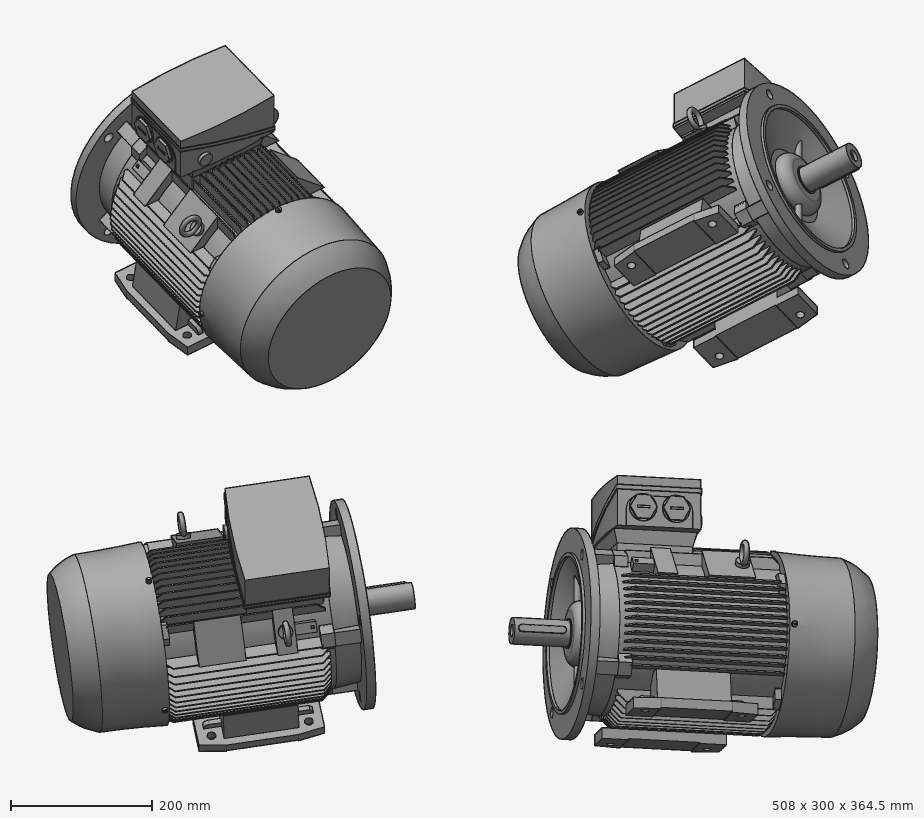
import cadquery as cq
import math


SHAFT_RADIUS = 19.05
SHAFT_TIP_X = -80.5
COLLAR_RADIUS = 21.5
COLLAR_X = 1.0
KEY_WIDTH = 10.0
KEY_START_X = -75.0
KEY_END_X = -5.5
KEY_TOP = 22.5
CENTRE_HOLE_RADIUS = 5.5
CENTRE_HOLE_DEPTH = 25.5
CENTRE_SINK_RADIUS = 8.5
CENTRE_SINK_DEPTH = 5.0

FLANGE_RADIUS = 300.0 / 2
FLANGE_THICKNESS = 13.0
SHIELD_END_X = 50.5
SHIELD_FRONT_RADIUS = 110.0
SPIGOT_RADIUS = 115.0
SPIGOT_HEIGHT = 4.0
BOWL_RADIUS = 109.5
BOWL_DEPTH = 23.0
BOWL_FLOOR_RADIUS = 57.5
HUB_BASE_RADIUS = 47.0
HUB_FACE_RADIUS = 33.0
HUB_FACE_X = 2.5
BOWL_RIB_RADIUS = 5.0
BOWL_RIB_X = 16.0
BOWL_RIB_REACH = 91.5
BOLT_CIRCLE_RADIUS = 132.5
BOLT_HOLE_RADIUS = 7.5

CORE_RADIUS = 114.5
HOUSING_END_X = 293.5
FIN_TIP_HEIGHT = 131.0
FIN_CROWN_RADIUS = 115.5
FIN_THICKNESS = 2.0
FIN_PITCH = 11.0
FINS_EACH_SIDE_OF_MIDDLE = 6
FIN_START_X = 58.0
FIN_FRONT_CHAMFER = 12.5
FIN_REAR_CHAMFER = 9.0
FIN_ROOT = 71.0

LUG_ANGLE = -34.5
LUG_WIDTH = 20.5
LUG_OUTER_RADIUS = 126.5
LUG_ROOT_RADIUS = 96.5
LUG_SIDE_ROOT_Z = 82.5
LUG_UPPER_ROOT = (-45.5, 101.5)
FRONT_LUG_END_X = 70.0
REAR_LUG_START_X = 284.5

UPPER_ANGLES = (-45, 45)
PAD_RADIUS = 130.0
PAD_SIDE = 68.5
FRONT_PAD_X = (105.5, 134.5)
REAR_PAD_X = (180.5, 248.0)
EARTH_BLOCK_START_X = 74.5
EARTH_BLOCK_WIDTH = 16.0
EARTH_BLOCK_RADIUS = 128.0
EARTH_BLOCK_ROOT = 101.5
EARTH_HOLE_X = 80.5
EARTH_HOLE_SIZE = 4.0
EARTH_HOLE_DEPTH = 5.0

SHAFT_HEIGHT = 132.0
FOOT_THICKNESS = 16.0
FOOT_X = (68.5, 249.5)
FOOT_MIDDLE_X = (107.0, 211.0)
FOOT_INNER_Y = 73.5
FOOT_OUTER_Y = 128.0
FOOT_END_Y = 121.5
FOOT_RELIEF = 1.5
FOOT_HOLE_RADIUS = 6.0
FOOT_HOLE_Y = 108.0
FOOT_HOLE_X = (89.0, 229.0)
WEB_X = (104.5, 212.5)
WEB_TOP_Z = -70.5
WEB_TOP_Y = 109.0
WEB_BASE_Y = 116.5
FOOT_RIB_X = (80.5, 238.0)
FOOT_RIB_Y = 87.5
FOOT_RIB_WIDTH = 7.5
FOOT_RIB_HEIGHT = 9.0
FOOT_RIB_BEVEL = 5.0

OVERALL_HEIGHT = 364.5
BOX_TOP_Z = OVERALL_HEIGHT - FLANGE_RADIUS
BOX_BOTTOM_Z = 142.0
BOX_BASE_Z = 122.0
BOX_CORNER_X = (54.5, 176.0)
BOX_BULGE = 4.0
BOX_Y = (-82.5, 78.5)
BOX_BASE_X = (59.5, 169.5)
BOX_BASE_Y = 58.5
BOX_NECK_TOP_Y = 61.5
BOX_CLEARANCE_END_X = 174.0
LIP_OVERHANG = 1.5
LIP_THICKNESS = 6.5
LIP_FRONT_Z = 195.0
LIP_BACK_Z = 146.0
GLAND_PANEL_X = (67.0, 163.5)
GLAND_PANEL_TOP_Z = 187.0
GLAND_PANEL_THICKNESS = 1.5
GLAND_PANEL_CORNER = 20.5
GLAND_X = (91.0, 139.0)
GLAND_Z = 169.5
GLAND_COLLAR_RADIUS = 20.0
GLAND_COLLAR_HEIGHT = 2.0
GLAND_HEX_CORNERS = 39.0
GLAND_HEX_HEIGHT = 4.5
GLAND_SLOT_LENGTH = 18.5
GLAND_SLOT_WIDTH = 3.0
GLAND_SLOT_DEPTH = 1.5
SIDE_PLUG_RADIUS = 10.5
SIDE_PLUG_Y = -43.5
SIDE_PLUG_Z = 161.5
SIDE_PLUG_END_X = 184.0

COVER_END_X = 508 + SHAFT_TIP_X
COVER_BREAK_X = 389.5
COVER_FRONT_RADIUS = 131.5
COVER_BREAK_RADIUS = 127.5
COVER_END_RADIUS = 105.5
COVER_ARC_X = 411.5
COVER_ARC_RADIUS = 118.0
COVER_SCREW_X = 300.0
COVER_SCREW_RADIUS = 4.0
COVER_SCREW_TOP = 135.0
COVER_SCREW_SLOT = 1.5
COVER_SCREW_ANGLES = (-90, 0, 90)

EYE_RING_OUTER_RADIUS = 18.5
EYE_WIRE_RADIUS = 3.8
EYE_COLLAR_RADIUS = 10.0
EYE_COLLAR_HEIGHT = 6.0
EYE_CENTRE_HEIGHT = 19.5
EYE_PLACES = (
    (45, sum(FRONT_PAD_X) / 2),
    (-45, 233.5),
)


def box_between(x_range, y_range, z_range):
    size = [high - low for low, high in (x_range, y_range, z_range)]
    corner = (x_range[0], y_range[0], z_range[0])
    return cq.Workplane("XY").box(*size, centered=False).translate(corner)


def turn(body, angle):
    """Turn a body about the shaft axis; a positive angle carries +Z towards +Y."""
    return body.rotate((0, 0, 0), (1, 0, 0), -angle)


def x_cylinder(radius, x_start, x_end):
    return cq.Workplane("YZ", origin=(x_start, 0, 0)).circle(radius).extrude(x_end - x_start)


def radial_block(x_range, width, root_radius, outer_radius, angle):
    block = box_between(x_range, (-width / 2, width / 2), (root_radius, outer_radius))
    return turn(block, angle)


def make_shaft():
    shaft = x_cylinder(SHAFT_RADIUS, SHAFT_TIP_X, SHIELD_END_X)
    shaft = shaft.union(x_cylinder(COLLAR_RADIUS, COLLAR_X, SHIELD_END_X))
    key = (
        cq.Workplane("XZ")
        .center((KEY_START_X + KEY_END_X) / 2, 0)
        .slot2D(KEY_END_X - KEY_START_X, KEY_WIDTH)
        .extrude(KEY_TOP)
    )
    hole = x_cylinder(CENTRE_HOLE_RADIUS, SHAFT_TIP_X, SHAFT_TIP_X + CENTRE_HOLE_DEPTH)
    sink = x_cylinder(CENTRE_SINK_RADIUS, SHAFT_TIP_X, SHAFT_TIP_X + CENTRE_SINK_DEPTH)
    return shaft.union(key).cut(hole).cut(sink)


def make_end_shield():
    hub_arc = (
        (HUB_FACE_X + BOWL_DEPTH) / 2 - 5.0,
        (HUB_BASE_RADIUS + HUB_FACE_RADIUS) / 2 + 3.5,
    )
    shield = (
        cq.Workplane("XY")
        .moveTo(HUB_FACE_X, 0)
        .lineTo(HUB_FACE_X, HUB_FACE_RADIUS)
        .threePointArc(hub_arc, (BOWL_DEPTH, HUB_BASE_RADIUS))
        .lineTo(BOWL_DEPTH, BOWL_FLOOR_RADIUS)
        .lineTo(0, BOWL_RADIUS)
        .lineTo(-SPIGOT_HEIGHT, BOWL_RADIUS)
        .lineTo(-SPIGOT_HEIGHT, SPIGOT_RADIUS)
        .lineTo(0, SPIGOT_RADIUS)
        .lineTo(0, FLANGE_RADIUS)
        .lineTo(FLANGE_THICKNESS, FLANGE_RADIUS)
        .lineTo(FLANGE_THICKNESS, SHIELD_FRONT_RADIUS)
        .lineTo(SHIELD_END_X, CORE_RADIUS)
        .lineTo(SHIELD_END_X, 0)
        .close()
        .revolve(360, (0, 0, 0), (1, 0, 0))
    )
    bowl_ribs = (
        cq.Workplane("XY", origin=(BOWL_RIB_X, 0, 0))
        .circle(BOWL_RIB_RADIUS)
        .extrude(BOWL_RIB_REACH, both=True)
    )
    shield = shield.union(bowl_ribs)
    for quarter in range(4):
        lug_x = (FLANGE_THICKNESS, SHIELD_END_X)
        lug_angle = LUG_ANGLE + 90 * quarter
        shield = shield.union(radial_block(lug_x, LUG_WIDTH, LUG_ROOT_RADIUS, LUG_OUTER_RADIUS, lug_angle))
    bolt_holes = (
        cq.Workplane("YZ")
        .polarArray(BOLT_CIRCLE_RADIUS, 45, 360, 4)
        .circle(BOLT_HOLE_RADIUS)
        .extrude(FLANGE_THICKNESS)
    )
    shaft_bore = x_cylinder(COLLAR_RADIUS, 0, SHIELD_END_X)
    return shield.cut(bolt_holes).cut(shaft_bore)


def make_fin(offset, tip):
    """Upright fin standing at Y = offset, bevelled at both ends."""
    return (
        cq.Workplane("XZ", origin=(0, offset + FIN_THICKNESS / 2, 0))
        .moveTo(FIN_START_X, FIN_ROOT)
        .lineTo(FIN_START_X, tip - FIN_FRONT_CHAMFER)
        .lineTo(FIN_START_X + FIN_FRONT_CHAMFER, tip)
        .lineTo(HOUSING_END_X - FIN_REAR_CHAMFER, tip)
        .lineTo(HOUSING_END_X, tip - FIN_REAR_CHAMFER)
        .lineTo(HOUSING_END_X, FIN_ROOT)
        .close()
        .extrude(FIN_THICKNESS)
    )


def make_finned_core():
    """Round core with a row of fins on each of four sides, the tips of a row lying on one arc."""
    core = x_cylinder(CORE_RADIUS, SHIELD_END_X, HOUSING_END_X)
    crown_centre = FIN_TIP_HEIGHT - FIN_CROWN_RADIUS
    row = []
    for step in range(-FINS_EACH_SIDE_OF_MIDDLE, FINS_EACH_SIDE_OF_MIDDLE + 1):
        offset = step * FIN_PITCH
        row.append(make_fin(offset, crown_centre + math.sqrt(FIN_CROWN_RADIUS**2 - offset**2)))
    fins = [turn(fin, angle).val() for angle in (0, 90, 180, 270) for fin in row]
    return cq.Workplane("XY").newObject([core.val().fuse(*fins)])


def make_lug(x_range):
    """Lug at the upper -Y corner in line with the end shield's lug, with an upright outer side."""
    angle = math.radians(LUG_ANGLE)
    half = LUG_WIDTH / 2
    radial = (math.sin(angle), math.cos(angle))
    across = (math.cos(angle), -math.sin(angle))
    upper_corner = [LUG_OUTER_RADIUS * r + half * a for r, a in zip(radial, across)]
    side_corner = [LUG_OUTER_RADIUS * r - half * a for r, a in zip(radial, across)]
    side_root = (side_corner[0], LUG_SIDE_ROOT_Z)
    return (
        cq.Workplane("YZ", origin=(x_range[0], 0, 0))
        .polyline([LUG_UPPER_ROOT, upper_corner, side_corner, side_root])
        .close()
        .extrude(x_range[1] - x_range[0])
    )


def make_pad(x_range, side):
    """Corner pad with a 45 degree face; side is +1 on the +Y flank and -1 on the -Y flank."""
    far_edge = PAD_RADIUS * math.sqrt(2) - PAD_SIDE
    return (
        cq.Workplane("YZ", origin=(x_range[0], 0, 0))
        .moveTo(side * PAD_SIDE, PAD_SIDE)
        .lineTo(side * far_edge, PAD_SIDE)
        .lineTo(side * PAD_SIDE, far_edge)
        .close()
        .extrude(x_range[1] - x_range[0])
    )


def make_foot():
    """Foot on the -Y side: plate, sloped web and a low locating rib at each end."""
    top_z = FOOT_THICKNESS - SHAFT_HEIGHT
    plate = (
        cq.Workplane("XY", origin=(0, 0, -SHAFT_HEIGHT))
        .moveTo(FOOT_X[0], -FOOT_INNER_Y)
        .lineTo(FOOT_X[0], -FOOT_END_Y)
        .lineTo(FOOT_MIDDLE_X[0], -FOOT_OUTER_Y)
        .lineTo(FOOT_MIDDLE_X[1], -FOOT_OUTER_Y)
        .lineTo(FOOT_X[1], -FOOT_END_Y)
        .lineTo(FOOT_X[1], -FOOT_INNER_Y)
        .close()
        .extrude(FOOT_THICKNESS)
    )
    relief = box_between(
        FOOT_MIDDLE_X, (-FOOT_OUTER_Y, -FOOT_INNER_Y), (-SHAFT_HEIGHT, FOOT_RELIEF - SHAFT_HEIGHT)
    )
    holes = (
        cq.Workplane("XY", origin=(0, 0, -SHAFT_HEIGHT))
        .pushPoints([(x, -FOOT_HOLE_Y) for x in FOOT_HOLE_X])
        .circle(FOOT_HOLE_RADIUS)
        .extrude(FOOT_THICKNESS)
    )
    web = (
        cq.Workplane("YZ", origin=(WEB_X[0], 0, 0))
        .moveTo(-FOOT_INNER_Y, WEB_TOP_Z)
        .lineTo(-WEB_TOP_Y, WEB_TOP_Z)
        .lineTo(-WEB_BASE_Y, top_z)
        .lineTo(-FOOT_INNER_Y, top_z)
        .close()
        .extrude(WEB_X[1] - WEB_X[0])
    )
    rib = box_between(
        FOOT_RIB_X, (-FOOT_RIB_Y - FOOT_RIB_WIDTH, -FOOT_RIB_Y), (top_z, top_z + FOOT_RIB_HEIGHT)
    )
    rib = rib.faces(">Z").edges("<X").chamfer(FOOT_RIB_BEVEL)
    rib = rib.faces(">Z").edges(">X").fillet(FOOT_RIB_HEIGHT * 0.9)
    return plate.cut(relief).cut(holes).union(web).union(rib)


def make_housing():
    housing = make_finned_core()

    box_clearance = box_between(
        (SHIELD_END_X, BOX_CLEARANCE_END_X), (-FOOT_OUTER_Y, FOOT_OUTER_Y), (BOX_BASE_Z, BOX_BOTTOM_Z)
    )
    seat = box_between(BOX_BASE_X, (-BOX_BASE_Y, BOX_BASE_Y), (FIN_ROOT, BOX_BASE_Z))
    housing = housing.cut(box_clearance).union(seat)

    front_lug = make_lug((SHIELD_END_X, FRONT_LUG_END_X))
    rear_lug = make_lug((REAR_LUG_START_X, HOUSING_END_X)).mirror("XZ")
    for quarter in range(4):
        housing = housing.union(turn(front_lug, 90 * quarter)).union(turn(rear_lug, 90 * quarter))

    for angle in UPPER_ANGLES:
        for pad_x in (FRONT_PAD_X, REAR_PAD_X):
            housing = housing.union(make_pad(pad_x, math.copysign(1, angle)))
        earth_x = (EARTH_BLOCK_START_X, FRONT_PAD_X[0])
        earth_block = radial_block(earth_x, EARTH_BLOCK_WIDTH, EARTH_BLOCK_ROOT, EARTH_BLOCK_RADIUS, angle)
        earth_hole = radial_block(
            (EARTH_HOLE_X - EARTH_HOLE_SIZE / 2, EARTH_HOLE_X + EARTH_HOLE_SIZE / 2),
            EARTH_HOLE_SIZE,
            EARTH_BLOCK_RADIUS - EARTH_HOLE_DEPTH,
            EARTH_BLOCK_RADIUS,
            angle,
        )
        housing = housing.union(earth_block).cut(earth_hole)

    foot = make_foot()
    return housing.union(foot).union(foot.mirror("XZ"))


def box_outline(workplane):
    """Plan of the terminal box: straight along X, slightly bulged at both X ends."""
    middle_y = sum(BOX_Y) / 2
    return (
        workplane.moveTo(BOX_CORNER_X[0], BOX_Y[0])
        .lineTo(BOX_CORNER_X[1], BOX_Y[0])
        .threePointArc((BOX_CORNER_X[1] + BOX_BULGE, middle_y), (BOX_CORNER_X[1], BOX_Y[1]))
        .lineTo(BOX_CORNER_X[0], BOX_Y[1])
        .threePointArc((BOX_CORNER_X[0] - BOX_BULGE, middle_y), (BOX_CORNER_X[0], BOX_Y[0]))
        .close()
    )


def make_lid_lip():
    """Sloping lip where the lid meets the box, standing proud all round."""
    ring = (
        box_outline(cq.Workplane("XY", origin=(0, 0, BOX_BOTTOM_Z)))
        .offset2D(LIP_OVERHANG)
        .extrude(BOX_TOP_Z - BOX_BOTTOM_Z)
    )
    front_y = BOX_Y[0] - LIP_OVERHANG
    back_y = BOX_Y[1] + LIP_OVERHANG
    slab = (
        cq.Workplane("YZ")
        .moveTo(front_y, LIP_FRONT_Z)
        .lineTo(back_y, LIP_BACK_Z)
        .lineTo(back_y, LIP_BACK_Z + LIP_THICKNESS)
        .lineTo(front_y, LIP_FRONT_Z + LIP_THICKNESS)
        .close()
        .extrude(HOUSING_END_X)
    )
    return ring.intersect(slab)


def make_gland(x):
    """Hexagonal blanking plug on a round collar, with a screwdriver slot."""
    collar_y = BOX_Y[0] - GLAND_PANEL_THICKNESS
    hex_y = collar_y - GLAND_COLLAR_HEIGHT
    face_y = hex_y - GLAND_HEX_HEIGHT
    collar = (
        cq.Workplane("XZ", origin=(x, collar_y, GLAND_Z))
        .circle(GLAND_COLLAR_RADIUS)
        .extrude(GLAND_COLLAR_HEIGHT)
    )
    head = (
        cq.Workplane("XZ", origin=(x, hex_y, GLAND_Z))
        .polygon(6, GLAND_HEX_CORNERS)
        .extrude(GLAND_HEX_HEIGHT)
    )
    slot = (
        cq.Workplane("XZ", origin=(x, face_y, GLAND_Z))
        .rect(GLAND_SLOT_LENGTH, GLAND_SLOT_WIDTH)
        .extrude(-GLAND_SLOT_DEPTH)
    )
    return collar.union(head).cut(slot)


def make_terminal_box():
    box = box_outline(cq.Workplane("XY", origin=(0, 0, BOX_BOTTOM_Z))).extrude(BOX_TOP_Z - BOX_BOTTOM_Z)
    base_middle_x = sum(BOX_BASE_X) / 2
    neck = (
        cq.Workplane("XY", origin=(base_middle_x, 0, BOX_BASE_Z))
        .rect(BOX_BASE_X[1] - BOX_BASE_X[0], 2 * BOX_BASE_Y)
        .workplane(offset=BOX_BOTTOM_Z - BOX_BASE_Z)
        .center(sum(BOX_CORNER_X) / 2 - base_middle_x, 0)
        .rect(BOX_CORNER_X[1] - BOX_CORNER_X[0], 2 * BOX_NECK_TOP_Y)
        .loft(combine=True)
    )
    panel = box_between(
        GLAND_PANEL_X, (BOX_Y[0] - GLAND_PANEL_THICKNESS, BOX_Y[0]), (BOX_BOTTOM_Z, GLAND_PANEL_TOP_Z)
    )
    panel = panel.faces(">Z").edges("|Y").fillet(GLAND_PANEL_CORNER)
    side_plug = x_cylinder(SIDE_PLUG_RADIUS, BOX_CORNER_X[1] - 5, SIDE_PLUG_END_X)
    side_plug = side_plug.translate((0, SIDE_PLUG_Y, SIDE_PLUG_Z))
    box = box.union(neck).union(make_lid_lip()).union(panel).union(side_plug)
    for x in GLAND_X:
        box = box.union(make_gland(x))
    return box


def make_fan_cover():
    cover = (
        cq.Workplane("XY")
        .moveTo(HOUSING_END_X, 0)
        .lineTo(HOUSING_END_X, COVER_FRONT_RADIUS)
        .lineTo(COVER_BREAK_X, COVER_BREAK_RADIUS)
        .threePointArc((COVER_ARC_X, COVER_ARC_RADIUS), (COVER_END_X, COVER_END_RADIUS))
        .lineTo(COVER_END_X, 0)
        .close()
        .revolve(360, (0, 0, 0), (1, 0, 0))
    )
    screw = (
        cq.Workplane("XY", origin=(COVER_SCREW_X, 0, COVER_BREAK_RADIUS - 5))
        .circle(COVER_SCREW_RADIUS)
        .extrude(COVER_SCREW_TOP - COVER_BREAK_RADIUS + 5)
    )
    slot = (
        cq.Workplane("XY", origin=(COVER_SCREW_X, 0, COVER_SCREW_TOP))
        .rect(2 * COVER_SCREW_RADIUS, COVER_SCREW_SLOT)
        .extrude(-COVER_SCREW_SLOT)
    )
    for angle in COVER_SCREW_ANGLES:
        cover = cover.union(turn(screw.cut(slot), angle))
    return cover


def make_eyebolt(angle, x):
    """Lifting eye standing on a pad, its ring square to the shaft axis."""
    collar = (
        cq.Workplane("XY", origin=(x, 0, PAD_RADIUS))
        .circle(EYE_COLLAR_RADIUS)
        .extrude(EYE_COLLAR_HEIGHT)
    )
    ring_radius = EYE_RING_OUTER_RADIUS - EYE_WIRE_RADIUS
    ring_centre = cq.Vector(x, 0, PAD_RADIUS + EYE_CENTRE_HEIGHT)
    ring = cq.Solid.makeTorus(ring_radius, EYE_WIRE_RADIUS, ring_centre, cq.Vector(1, 0, 0))
    return turn(collar.union(cq.Workplane(ring)), angle)


shaft = make_shaft()
end_shield = make_end_shield()
housing = make_housing()
terminal_box = make_terminal_box()
fan_cover = make_fan_cover()
eyebolts = [make_eyebolt(angle, x).val() for angle, x in EYE_PLACES]

result = cq.Compound.makeCompound([
    shaft.val(),
    end_shield.val(),
    housing.val(),
    terminal_box.val(),
    fan_cover.val(),
    *eyebolts,
])